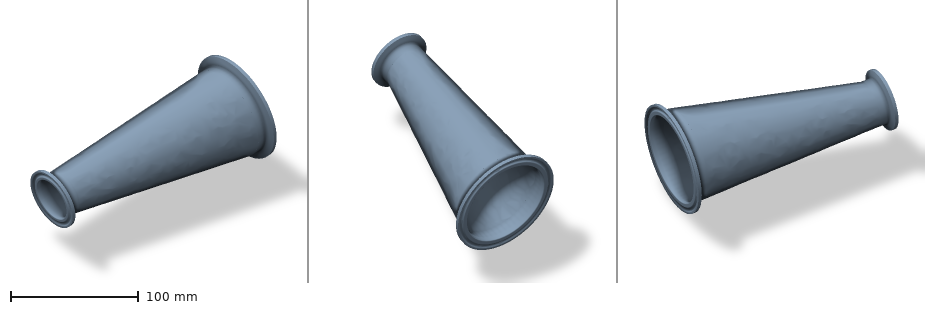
import cadquery as cq
import math

overall_length = 177.8
wall = 1.6
ferrule_length = 12.6
large_flange_radius = 45.5
large_tube_radius = 38.2
small_flange_radius = 25.2
small_tube_radius = 19.0

small_axis_x = small_tube_radius - large_tube_radius

rim_thickness = 2.8
clamp_angle = math.radians(20)
neck_fillet = 1.5
bore_edge_fillet = 0.7
gasket_inset = 3.5
gasket_half_width = 1.6
gasket_depth = 1.2
gasket_lip_fillet = 0.9


def edge_at(body, radius, y):
    """Circular edge of a revolved body with the given radius and Y position."""
    tolerance = 0.002
    return body.edges("%CIRCLE").filter(
        lambda edge: abs(edge.radius() - radius) < tolerance
        and (edge.arcCenter() - cq.Vector(0, y, 0)).Length < tolerance
    )


def make_ferrule(flange_radius, tube_radius):
    """Clamp ferrule on the Y axis, sealing face at Y = 0, tube toward +Y."""
    bore_radius = tube_radius - wall
    neck_y = rim_thickness + (flange_radius - tube_radius) * math.tan(clamp_angle)
    groove_radius = flange_radius - gasket_inset
    groove_inner = groove_radius - gasket_half_width
    groove_outer = groove_radius + gasket_half_width
    body = (
        cq.Workplane("XY")
        .moveTo(bore_radius, 0)
        .lineTo(groove_inner, 0)
        .threePointArc((groove_radius, gasket_depth), (groove_outer, 0))
        .lineTo(flange_radius, 0)
        .lineTo(flange_radius, rim_thickness)
        .lineTo(tube_radius, neck_y)
        .lineTo(tube_radius, ferrule_length)
        .lineTo(bore_radius, ferrule_length)
        .close()
        .revolve(360, (0, 0, 0), (0, 1, 0))
    )
    body = edge_at(body, tube_radius, neck_y).fillet(neck_fillet)
    body = edge_at(body, bore_radius, 0).fillet(bore_edge_fillet)
    for lip_radius in (groove_inner, groove_outer):
        body = edge_at(body, lip_radius, 0).fillet(gasket_lip_fillet)
    return body


def make_offset_cone(small_radius, large_radius):
    """Solid cone between the two ferrules, from the small axis to the large axis."""
    small_end = cq.Wire.makeCircle(
        small_radius, cq.Vector(small_axis_x, ferrule_length, 0), cq.Vector(0, 1, 0)
    )
    large_end = cq.Wire.makeCircle(
        large_radius, cq.Vector(0, overall_length - ferrule_length, 0), cq.Vector(0, 1, 0)
    )
    return cq.Workplane(cq.Solid.makeLoft([small_end, large_end], True))


small_ferrule = make_ferrule(small_flange_radius, small_tube_radius).translate((small_axis_x, 0, 0))

large_ferrule = (
    make_ferrule(large_flange_radius, large_tube_radius)
    .rotate((0, 0, 0), (0, 0, 1), 180)
    .translate((0, overall_length, 0))
)

cone_outside = make_offset_cone(small_tube_radius, large_tube_radius)
cone_inside = make_offset_cone(small_tube_radius - wall, large_tube_radius - wall)
cone = cone_outside.cut(cone_inside)

result = cq.Compound.makeCompound([small_ferrule.val(), cone.val(), large_ferrule.val()])